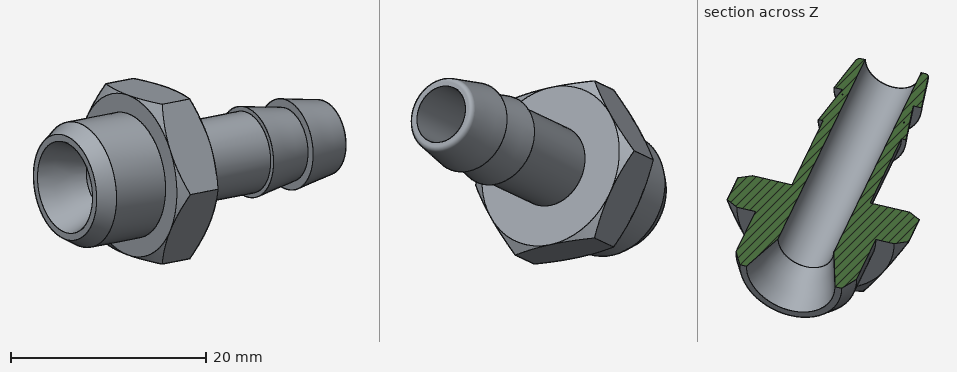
import cadquery as cq
import math

length = 33.0

thread_radius = 6.55
thread_length = 8.0
thread_chamfer = 1.02
thread_chamfer_angle = 30.0

hex_sides = 6
hex_across_flats = 17.0
hex_thickness = 5.0
hex_chamfer_angle = 30.0

stem_radius = 4.25
barb_radius = 4.75
barb_root_radius = 3.85
barb_length = 5.0
barb_count = 2
tip_fillet = 0.5

bore_radius = 3.0
seat_radius = 4.8
seat_angle = 20.0

hex_end = thread_length + hex_thickness
barbs_start = length - barb_count * barb_length


def revolve_profile(points):
    """Revolve a closed (radius, Y) outline about the Y axis."""
    return cq.Workplane("XY").polyline(points).close().revolve(360, (0, 0, 0), (0, 1, 0))


def make_shank():
    chamfer_length = thread_chamfer / math.tan(math.radians(thread_chamfer_angle))
    points = [
        (0, 0),
        (thread_radius - thread_chamfer, 0),
        (thread_radius, chamfer_length),
        (thread_radius, thread_length),
        (stem_radius, thread_length),
        (stem_radius, barbs_start),
    ]
    for i in range(barb_count):
        start = barbs_start + i * barb_length
        points.append((barb_radius, start))
        points.append((barb_root_radius, start + barb_length))
    points.append((0, length))
    return revolve_profile(points).faces(">Y").edges().fillet(tip_fillet)


def make_hexagon():
    flat_radius = hex_across_flats / 2
    corner_radius = flat_radius / math.cos(math.pi / hex_sides)
    drop = (corner_radius - flat_radius) * math.tan(math.radians(hex_chamfer_angle))
    prism = (
        cq.Workplane("XZ", origin=(0, thread_length, 0))
        .polygon(hex_sides, 2 * corner_radius)
        .extrude(-hex_thickness)
    )
    envelope = revolve_profile([
        (0, thread_length),
        (flat_radius, thread_length),
        (corner_radius, thread_length + drop),
        (corner_radius, hex_end - drop),
        (flat_radius, hex_end),
        (0, hex_end),
    ])
    return prism.intersect(envelope)


def make_bore():
    seat_depth = (seat_radius - bore_radius) / math.tan(math.radians(seat_angle))
    return revolve_profile([
        (0, 0),
        (seat_radius, 0),
        (bore_radius, seat_depth),
        (bore_radius, length),
        (0, length),
    ])


result = make_shank().union(make_hexagon()).cut(make_bore())